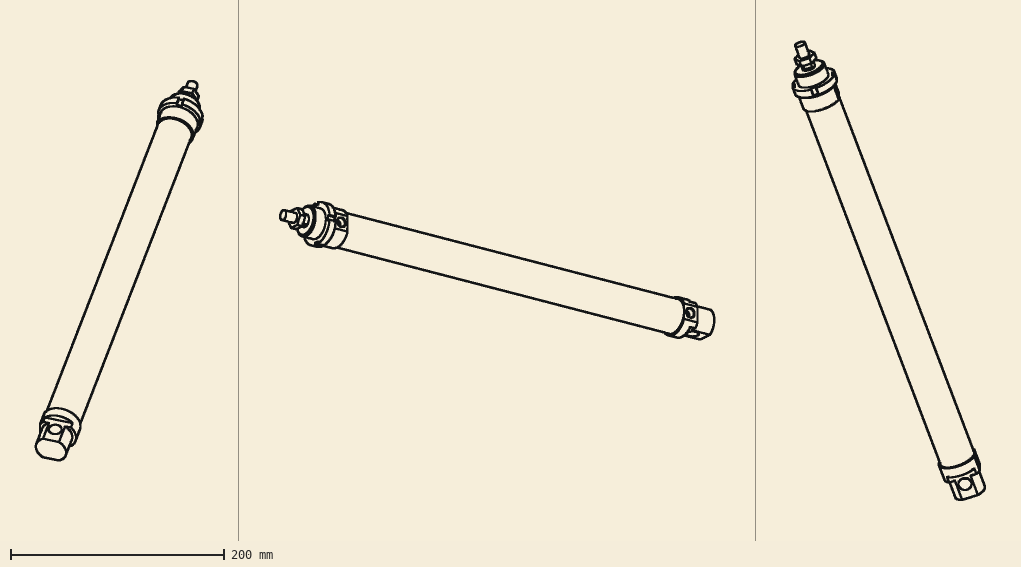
import cadquery as cq
import math


barrel_dia = 33.5
head_dia = 37.0
neck_dia = 30.0
nose_chamfer = 1.5

tongue_shoulder = 21.0
rear_head_end = 36.5
front_head_start = 426.5
front_head_end = 441.0
nose_end = 463.5

tongue_thickness = 25.5
tongue_flat_end = 27.0
pivot_dia = 12.0
pivot_y = 14.5

port_dia = 9.0
port_mouth_dia = 10.0
port_mouth_taper = 45
port_depth = 7.5
port_face_x = -barrel_dia / 2
rear_port_y = 29.5
front_port_y = (front_head_start + front_head_end) / 2

rod_dia = 12.0
rod_thread_dia = 10.0
rod_tip = 489.0
rod_shoulder = 470.5
rod_inner_end = 441.0
rod_flats_width = 10.0
rod_flats_start = 465.0

rod_nut_across_flats = 17.0
rod_nut_start = rod_shoulder
rod_nut_thickness = 6.0

mount_nut_dia = 42.0
mount_nut_start = 443.0
mount_nut_thickness = 7.5
slot_count = 4
slot_width = 5.0
slot_depth = 2.5


def disc(diameter, start, end):
    """Round bar on the Y axis between two stations."""
    return cq.Workplane("XZ", origin=(0, start, 0)).circle(diameter / 2).extrude(start - end)


def block(size_x, start, end, size_z):
    """Box centred on X = Z = 0 between two Y stations."""
    middle = (start + end) / 2
    return cq.Workplane("XY").box(size_x, end - start, size_z).translate((0, middle, 0))


def cut_pivot_tongue(body):
    """Flatten the rear end on both Z sides and drill the pivot hole through it."""
    rear_end = block(head_dia, 0, tongue_flat_end, head_dia)
    tongue = block(head_dia, 0, tongue_flat_end, tongue_thickness)
    pivot_hole = cq.Workplane("XY").center(0, pivot_y).circle(pivot_dia / 2).extrude(head_dia, both=True)
    return body.cut(rear_end.cut(tongue)).cut(pivot_hole)


def cut_port(body, port_y, head_start, head_end):
    """Flat seat level with the barrel, and a blind round port with a chamfered mouth."""
    seat = block(head_dia, head_start, head_end, head_dia).translate((port_face_x - head_dia / 2, 0, 0))
    port = (
        cq.Workplane("YZ", origin=(port_face_x, port_y, 0))
        .circle(port_dia / 2)
        .extrude(port_depth)
    )
    mouth_chamfer = (port_mouth_dia - port_dia) / 2
    mouth = (
        cq.Workplane("YZ", origin=(port_face_x, port_y, 0))
        .circle(port_mouth_dia / 2)
        .extrude(mouth_chamfer, taper=port_mouth_taper)
    )
    return body.cut(seat).cut(port).cut(mouth)


def make_housing():
    nose = disc(neck_dia, front_head_end, nose_end).faces(">Y").chamfer(nose_chamfer)
    body = (
        disc(neck_dia, 0, tongue_shoulder)
        .union(disc(head_dia, tongue_shoulder, rear_head_end))
        .union(disc(barrel_dia, rear_head_end, front_head_start))
        .union(disc(head_dia, front_head_start, front_head_end))
        .union(nose)
    )
    body = cut_pivot_tongue(body)
    body = cut_port(body, rear_port_y, tongue_shoulder, rear_head_end)
    body = cut_port(body, front_port_y, front_head_start, front_head_end)
    return body.cut(disc(rod_dia, rod_inner_end, nose_end))


def make_rod():
    shank = disc(rod_dia, rod_inner_end, rod_shoulder)
    flats_envelope = block(rod_dia, rod_flats_start, rod_shoulder, rod_dia)
    flats_core = block(rod_dia, rod_flats_start, rod_shoulder, rod_flats_width)
    shank = shank.cut(flats_envelope.cut(flats_core))
    return shank.union(disc(rod_thread_dia, rod_shoulder, rod_tip))


def make_rod_nut():
    across_corners = rod_nut_across_flats / math.cos(math.pi / 6)
    nut = (
        cq.Workplane("XZ", origin=(0, rod_nut_start, 0))
        .polygon(6, across_corners)
        .extrude(-rod_nut_thickness)
    )
    return nut.cut(disc(rod_thread_dia, rod_nut_start, rod_nut_start + rod_nut_thickness))


def make_mount_nut():
    nut_end = mount_nut_start + mount_nut_thickness
    nut = disc(mount_nut_dia, mount_nut_start, nut_end)
    nut = nut.cut(disc(neck_dia, mount_nut_start, nut_end))
    slot = block(slot_width, mount_nut_start, nut_end, 2 * slot_depth).translate((0, 0, mount_nut_dia / 2))
    for index in range(slot_count):
        nut = nut.cut(slot.rotate((0, 0, 0), (0, 1, 0), index * 360 / slot_count))
    return nut


housing = make_housing()
rod = make_rod()
rod_nut = make_rod_nut()
mount_nut = make_mount_nut()

result = cq.Compound.makeCompound([housing.val(), rod.val(), rod_nut.val(), mount_nut.val()])